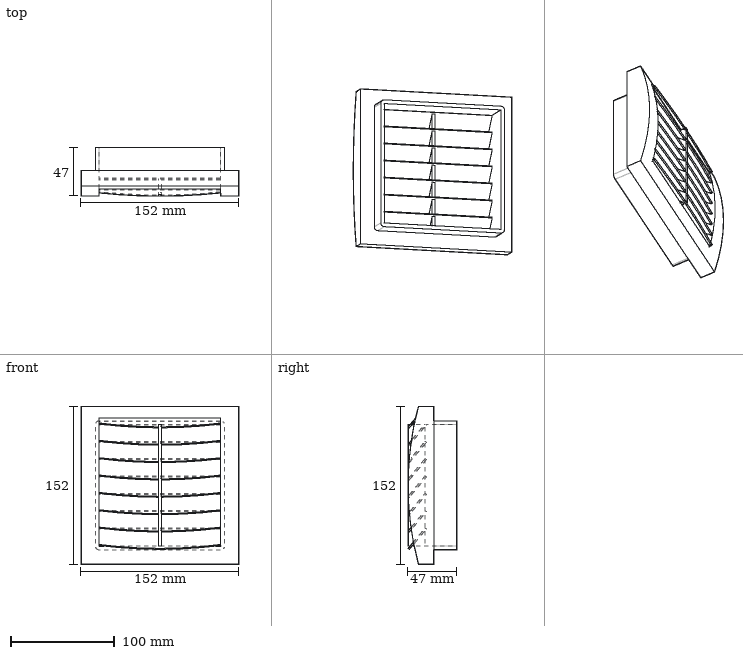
import cadquery as cq
import math

flange_size = 152.0
flange_edge_depth = 15.0
total_depth = 47.0

duct_length = 22.0
duct_wall = 3.6
window_size = 117.0
duct_size = window_size + 2 * duct_wall

slat_count = 8
slat_pitch = window_size / (slat_count - 1)
slat_angle = 50.0
slat_thickness = 1.5
slat_back_depth = 8.5
slat_edge_arch = 4.9
top_slat_cover = 0.08

bar_width = 3.0

flange_depth = total_depth - duct_length
slat_angle_rad = math.radians(slat_angle)
top_slat_back_height = flange_size / 2 - top_slat_cover
bar_depth = flange_depth - slat_back_depth
slat_length = bar_depth / math.cos(slat_angle_rad)


def make_flange():
    """Block whose front is a shallow cylinder running along X."""
    half = flange_size / 2
    return (
        cq.Workplane("YZ")
        .moveTo(0, -half)
        .lineTo(-flange_edge_depth, -half)
        .threePointArc((-flange_depth, 0), (-flange_edge_depth, half))
        .lineTo(0, half)
        .close()
        .extrude(half, both=True)
    )


def make_duct():
    """Square block with rounded long edges, reaching back from the flange."""
    return (
        cq.Workplane("XY")
        .box(duct_size, duct_length, duct_size)
        .edges("|Y")
        .fillet(duct_wall)
        .translate((0, duct_length / 2, 0))
    )


def make_window():
    """Square opening through the flange and the duct."""
    middle = (duct_length - flange_depth) / 2
    return cq.Workplane("XY").box(window_size, total_depth, window_size).translate((0, middle, 0))


def make_slat(back_height):
    """Plate sloping down to the front, its upper back edge at back_height."""
    half = window_size / 2
    side_length = slat_length - slat_edge_arch
    upper_face = cq.Plane(
        origin=(0, -slat_back_depth, back_height),
        xDir=(1, 0, 0),
        normal=(0, -math.sin(slat_angle_rad), math.cos(slat_angle_rad)),
    )
    return (
        cq.Workplane(upper_face)
        .moveTo(-half, 0)
        .lineTo(-half, -side_length)
        .threePointArc((0, -slat_length), (half, -side_length))
        .lineTo(half, 0)
        .close()
        .extrude(-slat_thickness)
    )


def make_bar():
    """Upright bar joining the slats, flush with the foremost point of the flange."""
    middle = -flange_depth + bar_depth / 2
    return cq.Workplane("XY").box(bar_width, bar_depth, window_size).translate((0, middle, 0))


result = make_flange().union(make_duct()).cut(make_window()).union(make_bar())
for index in range(slat_count):
    result = result.union(make_slat(top_slat_back_height - index * slat_pitch))